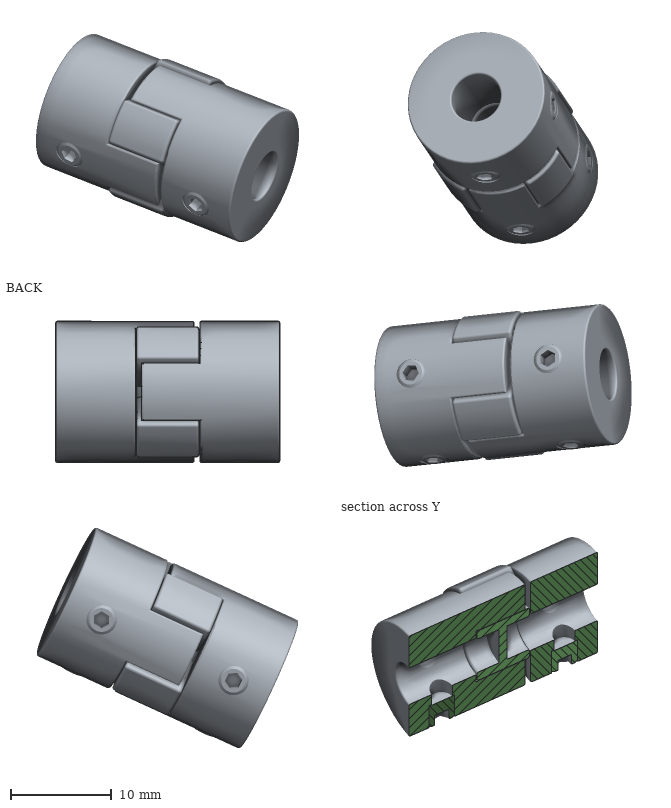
import cadquery as cq
import math


overall_length = 22.2
hub_radius = 7.005
hub_body_length = 7.93
jaw_length = 5.77
hub_edge_fillet = 0.2

bore_radius = 2.5

spider_length = 6.2
spider_radius = 7.3
spider_fillet = 0.29
core_radius = 3.5
spider_recess_radius = 2.29
spider_web = 1.0

leg_side_radius = 6.88
leg_half_width = 2.46
leg_waist = 5.1
leg_angles = [45, 135, 225, 315]

screw_radius = 1.49
screw_inset = 3.88
screw_length = 3.0
screw_chamfer = 0.29
screw_chamfer_depth = 0.18
pilot_radius = 1.2
hex_across_flats = 1.5
hex_depth = 1.33
front_screw_turn = 7.0
lower_screw_turn = 30.0

spider_half_length = spider_length / 2

hub_end_x = -overall_length / 2
hub_face_x = hub_end_x + hub_body_length
jaw_tip_x = hub_face_x + jaw_length
screw_x = hub_end_x + screw_inset

screw_tip = hub_radius - screw_length

TOLERANCE = 0.0002


def cross_section(x):
    """Sketch plane across the coupling axis at x, with its first axis along +Z."""
    return cq.Workplane(cq.Plane(origin=(x, 0, 0), xDir=(0, 0, 1), normal=(1, 0, 0)))


def disc(x_start, x_end, radius):
    return cross_section(x_start).circle(radius).extrude(x_end - x_start)


def barrel_leg(x_start, x_end):
    """One untrimmed leg along +Z, bounded by its two side arcs."""
    half_chord = math.sqrt(leg_side_radius**2 - (leg_side_radius - leg_half_width) ** 2)
    return (
        cross_section(x_start)
        .moveTo(leg_waist - half_chord, 0)
        .threePointArc((leg_waist, leg_half_width), (leg_waist + half_chord, 0))
        .threePointArc((leg_waist, -leg_half_width), (leg_waist - half_chord, 0))
        .close()
        .extrude(x_end - x_start)
    )


def with_legs(core, leg):
    """Join four copies of the leg to the core, on the diagonals between Y and Z."""
    for angle in leg_angles:
        core = core.union(leg.rotate((0, 0, 0), (1, 0, 0), angle))
    return core


def runs_on_radius(edge, radius):
    """True when both ends of the edge lie at the given distance from the coupling axis."""
    return all(
        abs(math.hypot(point.y, point.z) - radius) < TOLERANCE
        for point in (edge.startPoint(), edge.endPoint())
    )


def make_spider_leg():
    """One leg along +Z, trimmed to the outer radius and rounded on its ends and outer corners."""
    trim_disc = disc(-spider_half_length, spider_half_length, spider_radius)
    leg = barrel_leg(-spider_half_length, spider_half_length).intersect(trim_disc)
    outer_corners = [edge for edge in leg.edges("|X").vals() if runs_on_radius(edge, spider_radius)]
    end_edges = leg.faces("<X or >X").edges().vals()
    return leg.newObject(outer_corners + end_edges).fillet(spider_fillet)


def make_spider():
    core = disc(-spider_half_length, spider_half_length, core_radius)
    core = core.faces("<X or >X").edges().fillet(spider_fillet)
    spider = with_legs(core, make_spider_leg())

    for side in (-1, 1):
        recess = disc(side * spider_web / 2, side * spider_half_length, spider_recess_radius)
        spider = spider.cut(recess)
    rims = cq.selectors.RadiusNthSelector(0)
    return spider.faces("<X or >X").edges("%CIRCLE").edges(rims).fillet(spider_fillet)


def make_jaws():
    """Two opposite jaws on +Y and -Y that fill the spaces between the spider legs."""
    leg_space = with_legs(disc(hub_face_x, jaw_tip_x, core_radius), barrel_leg(hub_face_x, jaw_tip_x))
    ring = disc(hub_face_x, jaw_tip_x, hub_radius).cut(leg_space)
    return ring.solids("<Y or >Y")


def screw_cylinder(inner, outer, radius):
    """Cylinder along -Y at the screw place, between two distances from the coupling axis."""
    return cq.Workplane("XZ", origin=(screw_x, -inner, 0)).circle(radius).extrude(outer - inner)


def to_underside(body):
    """Turn a body from the -Y side of the coupling axis to the -Z side."""
    return body.rotate((0, 0, 0), (1, 0, 0), 90)


def make_hub():
    """Left hub, with its jaws on +Y and -Y and its screw holes on -Y and -Z."""
    hub = disc(hub_end_x, hub_face_x, hub_radius).union(make_jaws())

    outer_edges = [
        edge
        for edge in hub.edges().vals()
        if runs_on_radius(edge, hub_radius)
        and not (edge.geomType() == "LINE" and edge.Center().x < hub_face_x)
    ]
    hub = hub.newObject(outer_edges).fillet(hub_edge_fillet)

    hub = hub.cut(disc(hub_end_x, hub_face_x, bore_radius))
    bore_rim = cq.selectors.RadiusNthSelector(0)
    hub = hub.faces("<X").edges("%CIRCLE").edges(bore_rim).fillet(hub_edge_fillet)

    pilot_hole = screw_cylinder(0, hub_radius, pilot_radius)
    screw_hole = screw_cylinder(screw_tip, hub_radius, screw_radius).union(pilot_hole)
    return hub.cut(screw_hole).cut(to_underside(screw_hole))


def make_set_screw(hex_turn):
    """Set screw on the -Y side, flush with the outside of the hub."""
    screw = screw_cylinder(screw_tip, hub_radius, screw_radius)
    screw = screw.faces("<Y").chamfer(screw_chamfer_depth, screw_chamfer)
    hex_across_corners = hex_across_flats / math.cos(math.pi / 6)
    hex_socket = (
        cq.Workplane("XZ", origin=(screw_x, -hub_radius, 0))
        .polygon(6, hex_across_corners)
        .extrude(-hex_depth)
        .rotate((screw_x, 0, 0), (screw_x, 1, 0), hex_turn)
    )
    return screw.cut(hex_socket)


spider = make_spider()

left_half = [
    make_hub(),
    make_set_screw(front_screw_turn),
    to_underside(make_set_screw(lower_screw_turn)),
]

right_half = [body.rotate((0, 0, 0), (0, 1, 1), 180) for body in left_half]

bodies = [spider, *left_half, *right_half]
result = cq.Compound.makeCompound([body.solids().val() for body in bodies])